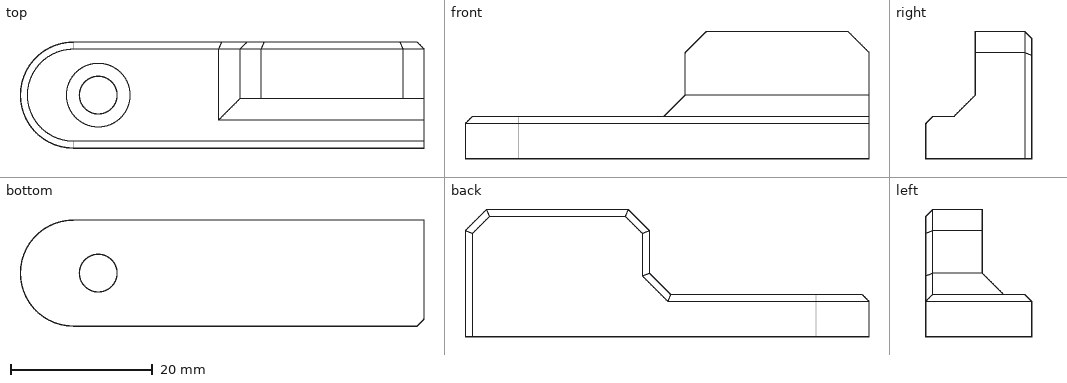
import cadquery as cq

length = 57.0
width = 15.0
base_height = 6.0
end_radius = width / 2
edge_chamfer = 1.0

total_height = 18.0
block_length = 26.0
block_thickness = 8.0
block_corner = 3.0
flare = 3.0

hole_diameter = 5.3
counterbore_diameter = 9.0
counterbore_depth = 3.0
hole_to_left_end = 11.0

left = -hole_to_left_end
right = left + length
front = -width / 2
back = width / 2
block_left = right - block_length
block_front = back - block_thickness
flare_top = base_height + flare


def make_base():
    """Flat bar with a full-radius -X end."""
    arc_x = left + end_radius
    return (
        cq.Workplane("XY")
        .moveTo(right, front)
        .lineTo(right, back)
        .lineTo(arc_x, back)
        .threePointArc((left, 0), (arc_x, front))
        .close()
        .extrude(base_height)
    )


def make_block():
    """Upright block with its two upper corners cut at 45 degrees."""
    return (
        cq.Workplane("XZ", origin=(0, back, 0))
        .moveTo(block_left, base_height)
        .lineTo(right, base_height)
        .lineTo(right, total_height - block_corner)
        .lineTo(right - block_corner, total_height)
        .lineTo(block_left + block_corner, total_height)
        .lineTo(block_left, total_height - block_corner)
        .close()
        .extrude(block_thickness)
    )


def make_flare():
    """Foot that widens downward on the -X and -Y sides of the block."""
    side_bevel = (
        cq.Workplane("XZ", origin=(0, back, 0))
        .moveTo(block_left - flare, base_height)
        .lineTo(right, base_height)
        .lineTo(right, flare_top)
        .lineTo(block_left, flare_top)
        .close()
        .extrude(width)
    )
    front_bevel = (
        cq.Workplane("YZ", origin=(left, 0, 0))
        .moveTo(block_front - flare, base_height)
        .lineTo(back, base_height)
        .lineTo(back, flare_top)
        .lineTo(block_front, flare_top)
        .close()
        .extrude(length)
    )
    return side_bevel.intersect(front_bevel)


def chamfer_edges(body):
    """Chamfer the plate's upper rim and the outline of the back face."""
    back_edges = body.faces(">Y").edges("not (<Z or <X)")
    front_edge = body.faces("<Y").edges(">Z")
    round_edge = body.edges("%CIRCLE").edges(">Z")
    return back_edges.add(front_edge).add(round_edge).chamfer(edge_chamfer)


def cut_screw_hole(body):
    """Through hole with a flat counterbore in the plate's upper face."""
    return (
        body.copyWorkplane(cq.Workplane("XY", origin=(0, 0, base_height)))
        .cboreHole(hole_diameter, counterbore_diameter, counterbore_depth)
    )


body = make_base().union(make_flare()).union(make_block()).clean()
result = cut_screw_hole(chamfer_edges(body))